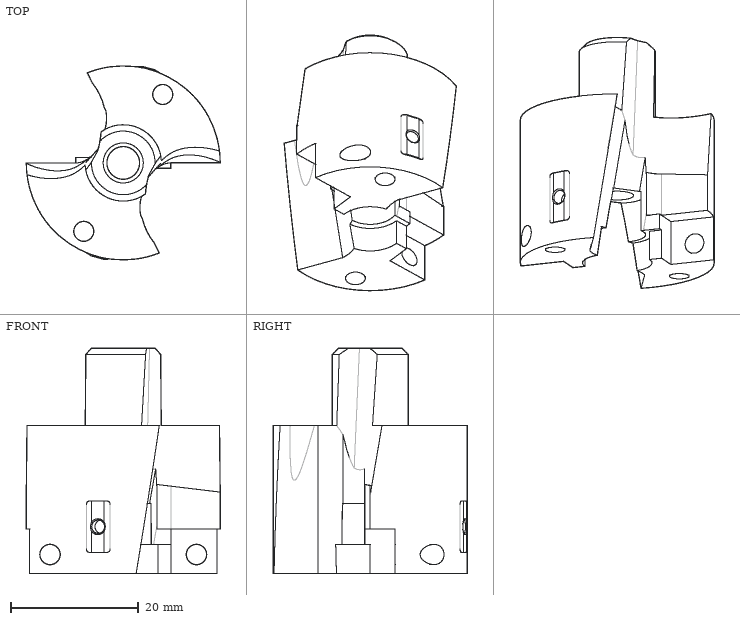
import cadquery as cq
import math

BODY_RADIUS = 15.25
BODY_HEIGHT = 23.3
SHANK_RADIUS = 6.0
TOTAL_HEIGHT = 35.41
SHANK_CHAMFER = 1.0

BORE_RADIUS = 2.55
BORE_CHAMFER = 0.6
WIDE_BORE_RADIUS = 5.45
WIDE_BORE_DEPTH = 4.6
MIDDLE_BORE_RADIUS = 4.45
MIDDLE_BORE_DEPTH = 11.0

TWIST_PER_MM = 0.64
LEAN_ANGLE = 10.0
FLUTE_REACH = 30.0

TWIST_LEAD_OUTER = (16.6, 1.25)
TWIST_LEAD_CURVE = [(11.2, 2.46), (7.6, 1.6), (5.85, 0.22)]
TWIST_CREASE = (3.86, -2.24)
TWIST_WALL_MIDDLE = (2.79, -6.2)
TWIST_WALL_OUTER = (7.5, -14.8)

LEAN_WALL_OUTER = (7.62, -18.16)
LEAN_WALL_INNER = (2.75, -8.2)
LEAN_ROOT_MIDDLE = (2.7, -6.1)
LEAN_ROOT_END = (3.28, -4.28)
LEAN_FLOOR_START = (6.3, -0.93)
LEAN_FLOOR_END_X = 8.07

SEAT_INNER_X = 5.3
SEAT_FLAT_X = 7.5
SEAT_FLOOR_Z = 7.0
SEAT_TOP_INNER_Z = 14.0
SEAT_TOP_OUTER_Z = 12.8
SEAT_BACK_Y = 3.0
SEAT_FRONT_Y = -3.0
LEDGE_Y = -0.85
OVERCUT = 1.0
RELIEF_DEPTH = 3.92

CROSS_HOLE_RADIUS = 1.58
CROSS_HOLE_X = 11.5
CROSS_HOLE_Z = 3.0
AXIAL_HOLE_RADIUS = 1.55
AXIAL_HOLE_X = 6.2
AXIAL_HOLE_Y = 10.75

PAD_ANGLE = 15.0
PAD_HEIGHT = 8.05
PAD_WIDTH = 3.86
PAD_CREST_WIDTH = 2.06
PAD_CREST_RADIUS = 15.42
PAD_CENTRE_Z = 7.37
PAD_CORNER = 0.5
PAD_EMBED = 1.0
PAD_HOLE_RADIUS = 1.05
PAD_HOLE_CHAMFER = 0.2
PAD_HOLE_DEPTH = 2.2


def paired(shape):
    """Return the shape joined with its copy turned half a turn about Z."""
    return shape.add(shape.rotate((0, 0, 0), (0, 0, 1), 180)).combine()


def make_blank():
    shank = cq.Workplane("XY").circle(SHANK_RADIUS).extrude(TOTAL_HEIGHT)
    shank = shank.faces(">Z").chamfer(SHANK_CHAMFER)
    return cq.Workplane("XY").circle(BODY_RADIUS).extrude(BODY_HEIGHT).union(shank)


def make_twisted_flute():
    """Flute section given at the body top, twisted about Z along the whole height."""
    twisted = (
        cq.Workplane("XY")
        .moveTo(FLUTE_REACH, -FLUTE_REACH)
        .lineTo(*TWIST_LEAD_OUTER)
        .spline(TWIST_LEAD_CURVE + [TWIST_CREASE], includeCurrent=True)
        .threePointArc(TWIST_WALL_MIDDLE, TWIST_WALL_OUTER)
        .close()
        .twistExtrude(TOTAL_HEIGHT, TWIST_PER_MM * TOTAL_HEIGHT)
    )
    return twisted.rotate((0, 0, 0), (0, 0, 1), -TWIST_PER_MM * BODY_HEIGHT)


def make_leaning_flute():
    """Flute section given at the body top, swept down along a leaning straight line."""
    section = (
        cq.Workplane("XY", origin=(0, 0, BODY_HEIGHT))
        .moveTo(*LEAN_WALL_OUTER)
        .lineTo(*LEAN_WALL_INNER)
        .threePointArc(LEAN_ROOT_MIDDLE, LEAN_ROOT_END)
        .lineTo(*LEAN_FLOOR_START)
        .lineTo(LEAN_FLOOR_END_X, LEDGE_Y)
        .lineTo(FLUTE_REACH, LEDGE_Y)
        .lineTo(FLUTE_REACH, LEAN_WALL_OUTER[1])
        .close()
        .wires()
        .val()
    )
    drop = cq.Vector(-BODY_HEIGHT * math.tan(math.radians(LEAN_ANGLE)), 0, -BODY_HEIGHT)
    return cq.Workplane(obj=cq.Solid.extrudeLinear(section, [], drop))


def make_seat_backing():
    """Fill behind the seat face and the ledge, under a sloping top."""
    backing = (
        cq.Workplane("XZ", origin=(0, LEDGE_Y, 0))
        .moveTo(MIDDLE_BORE_RADIUS, 0)
        .lineTo(BODY_RADIUS, 0)
        .lineTo(BODY_RADIUS, SEAT_TOP_OUTER_Z)
        .lineTo(SEAT_INNER_X, SEAT_TOP_INNER_Z)
        .lineTo(MIDDLE_BORE_RADIUS, SEAT_TOP_INNER_Z)
        .close()
        .extrude(LEDGE_Y - SEAT_BACK_Y)
    )
    envelope = cq.Workplane("XY").circle(BODY_RADIUS).extrude(BODY_HEIGHT)
    return backing.intersect(envelope)


def block(x_start, x_end, y_start, y_end, z_start, z_end):
    """Box between the given limits on each axis."""
    size = (x_end - x_start, y_end - y_start, z_end - z_start)
    return cq.Workplane("XY").box(*size, centered=False).translate((x_start, y_start, z_start))


def make_seat_cut():
    """Clear the seat front: rounded root above the ledge, square relief pocket beside it."""
    outside = BODY_RADIUS + OVERCUT
    rise = -LEDGE_Y
    run = SEAT_FLAT_X - SEAT_INNER_X
    root_radius = (run**2 + rise**2) / (2 * rise)
    half_turn = math.asin(run / root_radius) / 2
    root_middle = (
        SEAT_FLAT_X - root_radius * math.sin(half_turn),
        -root_radius * (1 - math.cos(half_turn)),
    )
    rounded = (
        cq.Workplane("XY", origin=(0, 0, SEAT_FLOOR_Z))
        .moveTo(outside, 0)
        .lineTo(SEAT_FLAT_X, 0)
        .threePointArc(root_middle, (SEAT_INNER_X, LEDGE_Y))
        .lineTo(SEAT_INNER_X, SEAT_FRONT_Y)
        .lineTo(outside, SEAT_FRONT_Y)
        .close()
        .extrude(SEAT_TOP_INNER_Z - SEAT_FLOOR_Z)
    )
    beside_ledge = block(SEAT_FLAT_X, outside, SEAT_FRONT_Y, RELIEF_DEPTH, 0, SEAT_FLOOR_Z)
    under_ledge = block(MIDDLE_BORE_RADIUS, outside, SEAT_FRONT_Y, 0, 0, WIDE_BORE_DEPTH)
    return rounded.union(beside_ledge).union(under_ledge)


def make_bore():
    bore = cq.Workplane("XY").circle(BORE_RADIUS).extrude(TOTAL_HEIGHT)
    steps = [(WIDE_BORE_RADIUS, WIDE_BORE_DEPTH), (MIDDLE_BORE_RADIUS, MIDDLE_BORE_DEPTH)]
    for radius, depth in steps:
        bore = bore.union(cq.Workplane("XY").circle(radius).extrude(depth))
    mouth = cq.Workplane("XY", origin=(0, 0, TOTAL_HEIGHT)).circle(BORE_RADIUS + BORE_CHAMFER)
    return bore.union(mouth.extrude(-BORE_CHAMFER, taper=45))


def make_cross_hole():
    centre = (CROSS_HOLE_X, CROSS_HOLE_Z)
    return cq.Workplane("XZ").pushPoints([centre]).circle(CROSS_HOLE_RADIUS).extrude(BODY_RADIUS, both=True)


def make_axial_hole():
    centre = (AXIAL_HOLE_X, AXIAL_HOLE_Y)
    return cq.Workplane("XY").pushPoints([centre]).circle(AXIAL_HOLE_RADIUS).extrude(BODY_HEIGHT)


def place_pad_feature(shape):
    """Move a feature built around the -Y direction to the pad position."""
    return shape.translate((0, 0, PAD_CENTRE_Z)).rotate((0, 0, 0), (0, 0, 1), -PAD_ANGLE)


def make_pad():
    edge_radius = math.sqrt(BODY_RADIUS**2 - (PAD_WIDTH / 2) ** 2)
    root_radius = BODY_RADIUS - PAD_EMBED
    pad = (
        cq.Workplane("XY", origin=(0, 0, -PAD_HEIGHT / 2))
        .moveTo(-PAD_WIDTH / 2, -root_radius)
        .lineTo(-PAD_WIDTH / 2, -edge_radius)
        .lineTo(-PAD_CREST_WIDTH / 2, -PAD_CREST_RADIUS)
        .lineTo(PAD_CREST_WIDTH / 2, -PAD_CREST_RADIUS)
        .lineTo(PAD_WIDTH / 2, -edge_radius)
        .lineTo(PAD_WIDTH / 2, -root_radius)
        .close()
        .extrude(PAD_HEIGHT)
    )
    rounded = cq.Workplane("XZ").rect(PAD_WIDTH, PAD_HEIGHT).extrude(BODY_RADIUS * 2)
    return place_pad_feature(pad.intersect(rounded.edges("|Y").fillet(PAD_CORNER)))


def make_pad_hole():
    crest = cq.Workplane("XZ", origin=(0, -PAD_CREST_RADIUS, 0))
    hole = crest.circle(PAD_HOLE_RADIUS).extrude(-PAD_HOLE_DEPTH)
    mouth = crest.circle(PAD_HOLE_RADIUS + PAD_HOLE_CHAMFER).extrude(-PAD_HOLE_CHAMFER, taper=45)
    return place_pad_feature(hole.union(mouth))


result = make_blank()
result = result.cut(paired(make_twisted_flute()))
result = result.union(paired(make_seat_backing()))
result = result.cut(paired(make_leaning_flute()))
result = result.cut(paired(make_seat_cut()))
result = result.union(paired(make_pad()))
result = result.cut(make_bore())
result = result.cut(paired(make_cross_hole()))
result = result.cut(paired(make_axial_hole()))
result = result.cut(paired(make_pad_hole()))